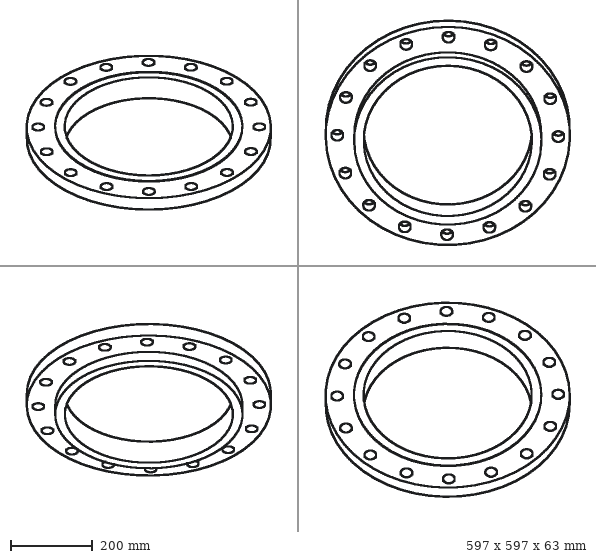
import cadquery as cq

flange_diameter = 597.0
ring_diameter = 458.0
bore_diameter = 410.5
total_height = 63.0
hub_height = 27.0
raised_face_height = 2.0
flange_thickness = total_height - hub_height - raised_face_height

bolt_circle_diameter = 540.0
bolt_hole_diameter = 28.5
bolt_count = 16
bolt_pitch_angle = 360 / bolt_count


def disc(diameter, height, base_z):
    """Solid disc on the Z axis, rising from base_z."""
    return cq.Workplane("XY").workplane(offset=base_z).circle(diameter / 2).extrude(height)


flange = disc(flange_diameter, flange_thickness, 0)

core = disc(ring_diameter, total_height, -hub_height)

bore = disc(bore_diameter, total_height, -hub_height)

bolt_holes = (
    cq.Workplane("XY")
    .polarArray(bolt_circle_diameter / 2, bolt_pitch_angle / 2, 360, bolt_count)
    .circle(bolt_hole_diameter / 2)
    .extrude(flange_thickness)
)

result = flange.union(core).cut(bore).cut(bolt_holes)